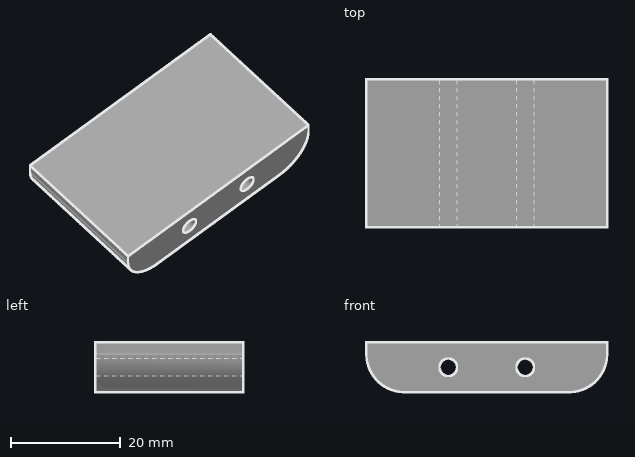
import cadquery as cq

length = 44.0
width = 27.0
height = 9.15

edge_radius = 7.05

hole_diameter = 3.15
hole_spacing = 14.05

block = cq.Workplane("XY").box(length, width, height)
rounded_block = block.edges("|Y and <Z").fillet(edge_radius)

result = (
    rounded_block.faces("<Y")
    .workplane(origin=(0, 0, 0))
    .rarray(hole_spacing, 0.45, 2, 1)
    .hole(hole_diameter)
)